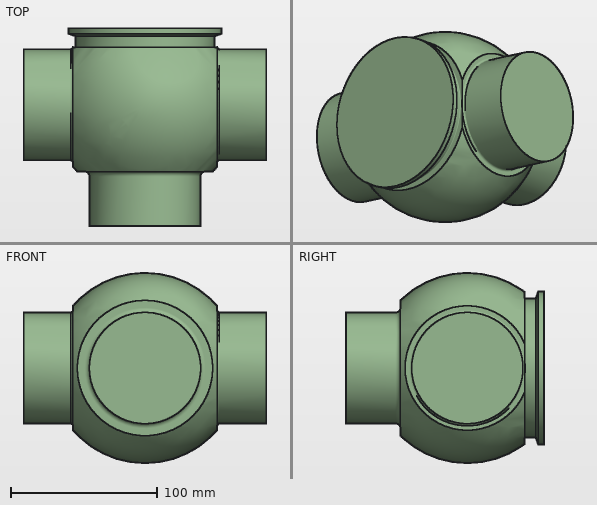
import cadquery as cq
import math

BODY_DIAMETER = 130.2
SIDE_FLAT = 49.3
FRONT_FLAT = 45.8
BACK_FLAT = 39.1

PIPE_DIAMETER = 76.1
SIDE_REACH = 83.0
FRONT_REACH = 83.0
SIDE_FILLET = 1.5
FRONT_FILLET = 3.2

OVERALL_DEPTH = 135.3
NECK_DIAMETER = 95.2
NECK_FILLET = 0.5
FLANGE_DIAMETER = 104.8
FLANGE_RIM = 4.0
FLANGE_TAPER = 1.7
BACK_REACH = OVERALL_DEPTH - FRONT_REACH


def body():
    """Sphere cut off by the flats that carry the pipes and the flange."""
    block = cq.Workplane("XY").box(
        2 * SIDE_FLAT, FRONT_FLAT + BACK_FLAT, BODY_DIAMETER
    ).translate((0, (BACK_FLAT - FRONT_FLAT) / 2, 0))
    return cq.Workplane("XY").sphere(BODY_DIAMETER / 2).intersect(block)


def filleted_stub(diameter, flat, reach, fillet):
    """Round stub along +Y from the centre, with a concave fillet where it leaves the flat."""
    radius = diameter / 2
    sag = fillet * (1 - math.sqrt(0.5))
    return (
        cq.Workplane("XY")
        .lineTo(0, reach)
        .lineTo(radius, reach)
        .lineTo(radius, flat + fillet)
        .threePointArc((radius + sag, flat + sag), (radius + fillet, flat))
        .lineTo(radius, flat)
        .lineTo(radius, 0)
        .close()
        .revolve(360, (0, 0), (0, 1))
    )


def flange():
    """Flange rim with a conical back face that narrows down to the neck."""
    rim_start = BACK_REACH - FLANGE_RIM
    return (
        cq.Workplane("XY")
        .moveTo(0, rim_start - FLANGE_TAPER)
        .lineTo(NECK_DIAMETER / 2, rim_start - FLANGE_TAPER)
        .lineTo(FLANGE_DIAMETER / 2, rim_start)
        .lineTo(FLANGE_DIAMETER / 2, BACK_REACH)
        .lineTo(0, BACK_REACH)
        .close()
        .revolve(360, (0, 0), (0, 1))
    )


def turned(shape, angle):
    """Shape turned about the Z axis."""
    return shape.rotate((0, 0, 0), (0, 0, 1), angle)


side_pipe = filleted_stub(PIPE_DIAMETER, SIDE_FLAT, SIDE_REACH, SIDE_FILLET)
front_pipe = filleted_stub(PIPE_DIAMETER, FRONT_FLAT, FRONT_REACH, FRONT_FILLET)
neck = filleted_stub(NECK_DIAMETER, BACK_FLAT, BACK_REACH, NECK_FILLET)

result = body()
for side_angle in (90, -90):
    result = result.union(turned(side_pipe, side_angle))
result = result.union(turned(front_pipe, 180))
result = result.union(neck)
result = result.union(flange())